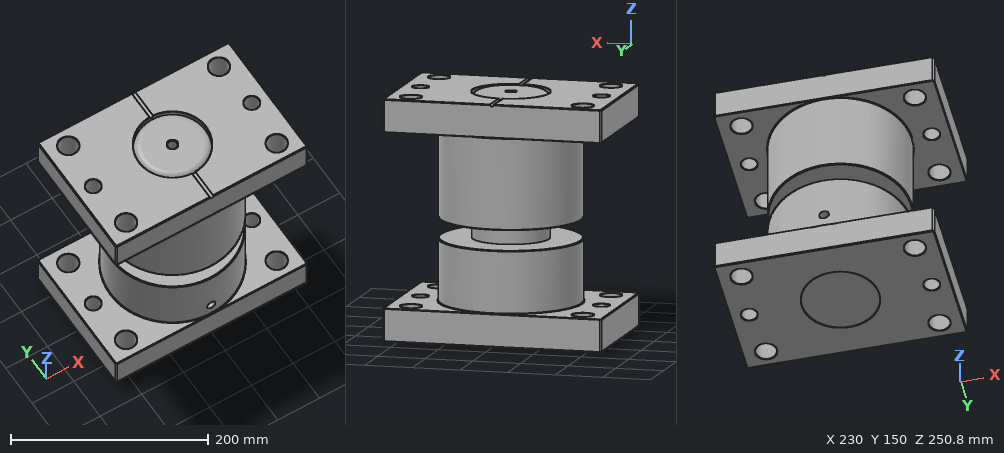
import cadquery as cq
total_height = 250.8
plate_length = 230.0
plate_width = 150.0
plate_thickness = 34.5
plate_corner_chamfer = 1.8
outer_face_chamfer = 1.0
collar_face_chamfer = 0.8

collar_diameter = 148.0
collar_edge_chamfer = 1.0
collar_base_fillet = 0.8
collar_gap = 20.8
lower_assembly_height = 100.0
upper_assembly_height = total_height - lower_assembly_height - collar_gap

post_diameter = 80.0
post_end_fillet = 8.0
center_hole_diameter = 10.0
center_hole_depth = 25.0
center_hole_chamfer = 1.0
drill_point_depth = center_hole_diameter / 4

bolt_hole_diameter = 22.0
bolt_spacing_x = 180.5
bolt_spacing_y = 110.0
dowel_hole_diameter = 16.5
dowel_spacing_x = 190.1
hole_edge_chamfer = 0.5

groove_radius = 2.0

radial_hole_diameter = 10.0
radial_hole_height = 50.0


def make_plate():
    """Rectangular plate standing on z = 0, with chamfered edges and holes for bolts and dowels."""
    plate = (
        cq.Workplane("XY")
        .box(plate_length, plate_width, plate_thickness, centered=(True, True, False))
        .edges("|Z")
        .chamfer(plate_corner_chamfer)
        .faces("<Z")
        .edges()
        .chamfer(outer_face_chamfer)
        .faces(">Z")
        .edges()
        .chamfer(collar_face_chamfer)
    )
    bolt_holes = (
        cq.Workplane("XY")
        .rect(bolt_spacing_x, bolt_spacing_y, forConstruction=True)
        .vertices()
        .circle(bolt_hole_diameter / 2)
        .extrude(plate_thickness)
    )
    dowel_holes = (
        cq.Workplane("XY")
        .pushPoints([(-dowel_spacing_x / 2, 0), (dowel_spacing_x / 2, 0)])
        .circle(dowel_hole_diameter / 2)
        .extrude(plate_thickness)
    )
    plate = plate.cut(bolt_holes).cut(dowel_holes)
    return plate.edges("%CIRCLE").chamfer(hole_edge_chamfer)


def make_collar(top):
    """Round collar from the plate up to the given height, with a flared foot and a chamfered free end.

    The foot is wider than the flat face of the plate, so it is sunk by the depth of the plate's
    edge chamfer to stand on solid material all the way around.
    """
    radius = collar_diameter / 2
    foot_radius = radius + collar_base_fillet
    foot_bottom = plate_thickness - collar_face_chamfer
    return (
        cq.Workplane("XZ")
        .moveTo(0, foot_bottom)
        .lineTo(foot_radius, foot_bottom)
        .lineTo(foot_radius, plate_thickness)
        .radiusArc((radius, plate_thickness + collar_base_fillet), collar_base_fillet)
        .lineTo(radius, top - collar_edge_chamfer)
        .lineTo(radius - collar_edge_chamfer, top)
        .lineTo(0, top)
        .close()
        .revolve(360, (0, 0, 0), (0, 1, 0))
    )


def make_bushing(height):
    """Plate and collar in one piece, bored through for the post."""
    body = make_plate().union(make_collar(height))

    bore = cq.Workplane("XY").circle(post_diameter / 2).extrude(height)
    body = body.cut(bore)

    bore_mouth = cq.selectors.RadiusNthSelector(-1)
    return body.faces("<Z").edges(bore_mouth).chamfer(hole_edge_chamfer)


def make_lower_bushing():
    """Lower plate and collar, with a radial hole on the -Y side that reaches the post."""
    radial_hole = (
        cq.Workplane("XZ", origin=(0, 0, radial_hole_height))
        .circle(radial_hole_diameter / 2)
        .extrude(collar_diameter / 2)
    )
    return make_bushing(lower_assembly_height).cut(radial_hole)


def make_upper_bushing():
    """Upper plate and collar, turned over, with a half-round groove along Y in the top face."""
    body = (
        make_bushing(upper_assembly_height)
        .rotate((0, 0, 0), (1, 0, 0), 180)
        .translate((0, 0, total_height))
    )
    groove = (
        cq.Workplane("XZ", origin=(0, plate_width / 2, total_height))
        .moveTo(-groove_radius, 0)
        .threePointArc((0, -groove_radius), (groove_radius, 0))
        .close()
        .extrude(plate_width)
    )
    return body.cut(groove)


def make_post():
    """Post running the full height, rounded at the top and center drilled."""
    post = (
        cq.Workplane("XY")
        .circle(post_diameter / 2)
        .extrude(total_height)
        .faces(">Z")
        .edges()
        .fillet(post_end_fillet)
    )
    hole_radius = center_hole_diameter / 2
    hole_bottom = total_height - center_hole_depth
    center_hole = (
        cq.Workplane("XZ")
        .moveTo(0, total_height)
        .lineTo(hole_radius + center_hole_chamfer, total_height)
        .lineTo(hole_radius, total_height - center_hole_chamfer)
        .lineTo(hole_radius, hole_bottom)
        .lineTo(0, hole_bottom - drill_point_depth)
        .close()
        .revolve(360, (0, 0, 0), (0, 1, 0))
    )
    return post.cut(center_hole)


lower_bushing = make_lower_bushing()
upper_bushing = make_upper_bushing()
guide_post = make_post()

result = cq.Compound.makeCompound([lower_bushing.val(), upper_bushing.val(), guide_post.val()])